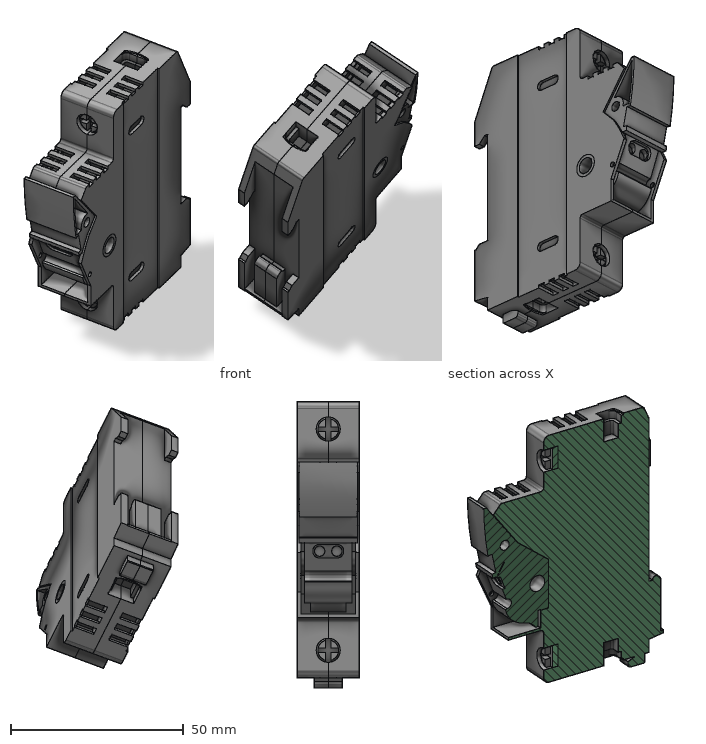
import cadquery as cq


WIDTH = 18.0
HEIGHT = 80.0
MID_HEIGHT = HEIGHT / 2
HALF = WIDTH / 2

WALL = 1.1
CAVITY_HALF = HALF - WALL

OVERALL_DEPTH = 62.8
LEVER_FRONT = 57.7
HOOK_REACH = OVERALL_DEPTH - LEVER_FRONT
HOOK_NOSE = 3.2
HOOK_GAP_TOP = 58.3
HOOK_GAP_BOTTOM = 23.1
UPPER_HOOK_TIP = 56.2
LOWER_HOOK_TIP = 21.75
BACK_SLOPE_FOOT = 64.2
ROOF_REAR = 1.9
HOOK_BASE = 4.2
HOOK_BASE_REAR = 5.0

FRONT = 36.8
BLOCK_FRONT = 49.05
BLOCK_TOP = 62.5
BLOCK_BOTTOM = 17.5
BLOCK_CHAMFER_START = 51.6
NOSE_SLOPE_FOOT = 24.9
NOSE = (54.2, 36.3)
SEAT_TOP = (54.3, 59.5)
SEAT_CORNER = (45.9, 48.2)
SEAT_BEND = (50.0, 44.1)
SEAT_ARC_MID = (52.2, 40.4)

CORNER_RADIUS = 2.0
STEP_RADIUS = 1.0

SIDE_RECESS_START = 11.9
SIDE_RECESS_END = 31.4
SIDE_RECESS_DEPTH = 0.5

GRIP_FORWARD = 23.5
GRIP_OFFSET = 26.65
GRIP_LENGTH = 8.1
GRIP_WIDTH = 3.0
GRIP_DEPTH = 1.0

VENT_WIDTH = 2.1
VENT_PITCH = 4.0
VENT_INNER = 2.4
VENT_DEPTH = 1.0
CHAMBER_DEPTH = 4.15
CHAMBER_MARGIN = 1.0
HOUSING_VENT_MID = 24.9
BLOCK_VENT_MID = 44.8
TROUGH_DIAMETER = 16.0
TROUGH_DEPTH = 3.3

WIRE_HALF = 4.1
WIRE_FRONT = 15.8
WIRE_SHOULDER = 9.7
WIRE_CREST = 9.0
ARCH_DEPTH = 0.5
LEDGE_DEPTH = 3.0
LEDGE_RADIUS = 1.5
CLAMP_HALF = 3.0
CLAMP_REAR = 10.8
CLAMP_DEPTH = 7.5
CLAMP_RADIUS = 0.7

HOOK_SLOT_HALF = 6.9
SLOT_FLOOR_REACH = 5.0
SLOT_FLOOR = 1.0
LATCH_HALF = 4.1
LATCH_REACH = 4.1
FOOT_REAR = 1.5
FOOT_FRONT = 7.4
FOOT_SLOPE_START = 5.15
FOOT_DROP = 3.0
FOOT_RADIUS = 1.0
FOOT_BEVEL = 0.25

SCREW_DIAMETER = 7.0
SCREW_OFFSET = 32.0
SCREW_SINK = 1.0
SCREW_LENGTH = 4.0
SCREW_CHAMFER = 0.5
CROSS_DEPTH = 2.0
CROSS_HEIGHT = 1.3
CROSS_WIDTH = 1.5

HUB = (38.9, 33.1)
HUB_DIAMETER = 7.0
HUB_BORE = 5.0
SEAL_HOLE = (49.55, 29.5)
SEAL_DIAMETER = 1.5

LEVER_INSET = 0.6
LEVER_HALF = HALF - LEVER_INSET
BODY_HALF = 6.9
TONGUE_HALF = 5.15
EYE = (50.3, 48.6)
EYE_DIAMETER = 3.0
EYE_BOSS_RADIUS = 3.1
LEVER_WEB = 2.0
LIP_ROOT = (52.95, 39.1)
LIP_TIP = (54.5, 39.1)
LIP_FRONT = (54.8, 40.5)
LIP_TOP = (53.45, 40.75)
COVER_BOTTOM = (56.2, 46.65)
COVER_STEP = (54.8, 46.9)
COVER_ARC_MID = (57.3, 54.6)
COVER_REAR = 56.6
POCKET_REAR = (50.0, 51.9)
POCKET_FRONT = (55.5, 47.6)
POCKET_TIP = (56.8, 61.3)
POCKET_ARC_MID = (56.6, 54.6)
POCKET_FLOOR_REAR = (50.0, 48.0)
GROOVE_TOP = (49.8, 31.0)
FINGER_GROOVE_DIAMETER = 3.0
BODY_LIP = (50.1, 27.7)
BODY_END = (44.0, 21.7)
TONGUE_FOOT = (39.4, 19.0)

WINDOW_DIAMETER = 4.0
WINDOW_HEIGHT = 36.7
WINDOW_DEPTH = 1.0
LAMP_DIAMETER = 3.0
LAMP_SPACING = 5.0
LAMP_FLOOR = 50.0

FLOOR_WALL = 0.9
CAVITY_FLOOR = BLOCK_BOTTOM + FLOOR_WALL
CAVITY_STEP = 24.2
CAVITY_REAR = 35.2
CAVITY_REAR_TOP = 39.8
CAVITY_LOW_REAR = 37.8
BODY_LOW_REAR = CAVITY_LOW_REAR + 0.8
CLEAR = 8.3


def side_plane(x=0.0):
    """Sketch plane whose local axes are forward distance and height; it extrudes toward -X."""
    return cq.Workplane(cq.Plane(origin=(x, 0, 0), xDir=(0, -1, 0), normal=(-1, 0, 0)))


def front_plane(forward):
    """Sketch plane with local axes X and Z; a positive extrusion goes forward."""
    return cq.Workplane("XZ", origin=(0, -forward, 0))


def block(x_range, forward_range, z_range):
    """Axis-aligned box between the given limits."""
    x0, x1 = x_range
    f0, f1 = forward_range
    z0, z1 = z_range
    return cq.Workplane("XY").box(x1 - x0, f1 - f0, z1 - z0, centered=False).translate((x0, -f1, z0))


def mirrored_pair(solid, plane, middle=(0, 0, 0)):
    """A solid together with its mirror image."""
    return solid.union(solid.mirror(plane, middle))


def upper_and_lower(solid):
    """A solid together with its image below the middle height."""
    return mirrored_pair(solid, "XY", (0, 0, MID_HEIGHT))


def housing_outline():
    """Full-width housing with rail hooks, stepped front and the V-shaped lever seat."""
    body = (
        side_plane(HALF)
        .moveTo(0, 0)
        .lineTo(FRONT, 0)
        .lineTo(FRONT, BLOCK_BOTTOM)
        .lineTo(BLOCK_FRONT, BLOCK_BOTTOM)
        .lineTo(BLOCK_FRONT, NOSE_SLOPE_FOOT)
        .lineTo(*NOSE)
        .threePointArc(SEAT_ARC_MID, SEAT_BEND)
        .lineTo(*SEAT_CORNER)
        .lineTo(*SEAT_TOP)
        .lineTo(BLOCK_CHAMFER_START, BLOCK_TOP)
        .lineTo(FRONT, BLOCK_TOP)
        .lineTo(FRONT, HEIGHT)
        .lineTo(ROOF_REAR, HEIGHT)
        .lineTo(-HOOK_REACH, BACK_SLOPE_FOOT)
        .lineTo(-HOOK_REACH, UPPER_HOOK_TIP)
        .lineTo(-HOOK_NOSE, UPPER_HOOK_TIP)
        .lineTo(-HOOK_NOSE + HOOK_GAP_TOP - UPPER_HOOK_TIP, HOOK_GAP_TOP)
        .lineTo(0, HOOK_GAP_TOP)
        .lineTo(0, HOOK_GAP_BOTTOM)
        .lineTo(-HOOK_NOSE, HOOK_GAP_BOTTOM)
        .lineTo(-HOOK_NOSE + LOWER_HOOK_TIP - HOOK_GAP_BOTTOM, LOWER_HOOK_TIP)
        .lineTo(-HOOK_REACH, LOWER_HOOK_TIP)
        .lineTo(-HOOK_REACH, HOOK_BASE_REAR)
        .lineTo(0, HOOK_BASE)
        .close()
        .extrude(2 * HALF)
    )
    body = round_cross_edges(body, [(FRONT, 0), (FRONT, HEIGHT)], CORNER_RADIUS)
    small = [
        (FRONT, BLOCK_BOTTOM),
        (FRONT, BLOCK_TOP),
        (BLOCK_CHAMFER_START, BLOCK_TOP),
        (ROOF_REAR, HEIGHT),
    ]
    return round_cross_edges(body, small, STEP_RADIUS)


def round_cross_edges(body, corners, radius):
    """Fillet the edges along X that pass through the given side-plane corners."""
    for forward, height in corners:
        edge = cq.selectors.NearestToPointSelector((0, -forward, height))
        body = body.edges("|X").edges(edge).fillet(radius)
    return body


def side_recesses():
    recess = block(
        (HALF - SIDE_RECESS_DEPTH, HALF + CLEAR),
        (SIDE_RECESS_START, SIDE_RECESS_END),
        (-CLEAR, HEIGHT + CLEAR),
    )
    return mirrored_pair(recess, "YZ")


def grip_slots():
    """Rounded blind slots in the floors of the side recesses."""
    floor = HALF - SIDE_RECESS_DEPTH
    slot = (
        side_plane(floor)
        .center(GRIP_FORWARD, MID_HEIGHT + GRIP_OFFSET)
        .slot2D(GRIP_LENGTH, GRIP_WIDTH)
        .extrude(GRIP_DEPTH)
    )
    return upper_and_lower(mirrored_pair(slot, "YZ"))


def vent_row(middle, top):
    """Three vents cut through a thin roof and the side wall into one chamber under the roof."""
    reach = VENT_PITCH + VENT_WIDTH / 2 + CHAMBER_MARGIN
    cutter = block(
        (VENT_INNER, CAVITY_HALF),
        (middle - reach, middle + reach),
        (top - CHAMBER_DEPTH, top - VENT_DEPTH),
    )
    for step in (-1, 0, 1):
        forward = middle + step * VENT_PITCH
        span = (forward - VENT_WIDTH / 2, forward + VENT_WIDTH / 2)
        cutter = cutter.union(block((VENT_INNER, HALF + CLEAR), span, (top - VENT_DEPTH, top)))
    return cutter


def trough_rib():
    """Rib beside the fuse block wall whose hollow top shows through the vents."""
    reach = VENT_PITCH + VENT_WIDTH / 2 + CHAMBER_MARGIN
    rib = block(
        (BODY_HALF, CAVITY_HALF),
        (BLOCK_VENT_MID - reach, BLOCK_VENT_MID + reach),
        (BLOCK_TOP - CHAMBER_DEPTH, BLOCK_TOP - VENT_DEPTH),
    )
    trough = (
        side_plane(CAVITY_HALF)
        .center(BLOCK_VENT_MID, BLOCK_TOP - TROUGH_DEPTH + TROUGH_DIAMETER / 2)
        .circle(TROUGH_DIAMETER / 2)
        .extrude(CAVITY_HALF - BODY_HALF)
    )
    return rib.cut(trough)


def all_vents():
    housing_rows = upper_and_lower(vent_row(HOUSING_VENT_MID, HEIGHT))
    block_row = vent_row(BLOCK_VENT_MID, BLOCK_TOP).cut(trough_rib())
    return mirrored_pair(housing_rows.union(block_row), "YZ")


def wire_openings():
    """Stepped wire entries: an arch, a rounded ledge and a rounded clamp pocket."""
    top = cq.Workplane("XY", origin=(0, 0, HEIGHT))
    arch = (
        top.moveTo(-WIRE_HALF, -WIRE_FRONT)
        .lineTo(WIRE_HALF, -WIRE_FRONT)
        .lineTo(WIRE_HALF, -WIRE_SHOULDER)
        .threePointArc((0, -WIRE_CREST), (-WIRE_HALF, -WIRE_SHOULDER))
        .close()
        .extrude(-ARCH_DEPTH)
    )
    ledge = block((-WIRE_HALF, WIRE_HALF), (WIRE_SHOULDER, WIRE_FRONT), (HEIGHT - LEDGE_DEPTH, HEIGHT))
    ledge = ledge.edges("|Z and >Y").fillet(LEDGE_RADIUS)
    clamp = block(
        (-CLAMP_HALF, CLAMP_HALF), (CLAMP_REAR, WIRE_FRONT), (HEIGHT - CLAMP_DEPTH, HEIGHT)
    )
    clamp = clamp.edges("|Z and >Y").fillet(CLAMP_RADIUS)
    return upper_and_lower(arch.union(ledge).union(clamp))


def hook_slot():
    """Slot through the middle of both rail hooks, leaving a thin sloped floor below."""
    return (
        side_plane(HOOK_SLOT_HALF)
        .polyline([
            (-HOOK_REACH - CLEAR, 0),
            (-SLOT_FLOOR_REACH, 0),
            (-SLOT_FLOOR_REACH, HOOK_BASE_REAR + SLOT_FLOOR),
            (0, HOOK_BASE + SLOT_FLOOR),
            (0, HEIGHT + CLEAR),
            (-HOOK_REACH - CLEAR, HEIGHT + CLEAR),
        ])
        .close()
        .extrude(2 * HOOK_SLOT_HALF)
    )


def rail_latch():
    """Latch nose in the lower hook slot and the pull foot under the housing."""
    nose = (
        side_plane(LATCH_HALF)
        .moveTo(0, HOOK_BASE)
        .lineTo(0, HOOK_GAP_BOTTOM)
        .lineTo(-1.2, HOOK_GAP_BOTTOM)
        .threePointArc((-1.5, 23.9), (-2.15, 24.2))
        .threePointArc((-3.3, 23.8), (-LATCH_REACH, 22.75))
        .lineTo(-LATCH_REACH, HOOK_BASE_REAR)
        .close()
        .extrude(2 * LATCH_HALF)
    )
    foot = (
        side_plane(LATCH_HALF)
        .moveTo(FOOT_REAR, 0)
        .lineTo(FOOT_SLOPE_START, 0)
        .lineTo(FOOT_FRONT, -FOOT_DROP + 2 * FOOT_RADIUS)
        .lineTo(FOOT_FRONT, -FOOT_DROP + FOOT_RADIUS)
        .tangentArcPoint((FOOT_FRONT - FOOT_RADIUS, -FOOT_DROP), relative=False)
        .lineTo(FOOT_REAR + FOOT_BEVEL, -FOOT_DROP)
        .lineTo(FOOT_REAR, -FOOT_DROP + FOOT_BEVEL)
        .close()
        .extrude(2 * LATCH_HALF)
    )
    return nose, foot


def lever_cavity():
    """Space between the side walls in which the lever swings, open toward the front."""
    return (
        side_plane(CAVITY_HALF)
        .polyline([
            (CAVITY_LOW_REAR, CAVITY_FLOOR),
            (LEVER_FRONT + CLEAR, CAVITY_FLOOR),
            (LEVER_FRONT + CLEAR, SEAT_CORNER[1]),
            SEAT_CORNER,
            (CAVITY_REAR, CAVITY_REAR_TOP),
            (CAVITY_REAR, CAVITY_STEP),
            (CAVITY_LOW_REAR, CAVITY_STEP),
        ])
        .close()
        .extrude(2 * CAVITY_HALF)
    )


def cross_hole(centre, diameter):
    """Round cutter along X through the full width."""
    return side_plane(HALF + CLEAR).center(*centre).circle(diameter / 2).extrude(2 * (HALF + CLEAR))


def screw_heights():
    return (MID_HEIGHT - SCREW_OFFSET, MID_HEIGHT + SCREW_OFFSET)


def screw_holes():
    return (
        front_plane(FRONT)
        .pushPoints([(0, height) for height in screw_heights()])
        .circle(SCREW_DIAMETER / 2)
        .extrude(-(SCREW_SINK + SCREW_LENGTH))
    )


def complete_housing():
    body = housing_outline().cut(hook_slot())
    for piece in rail_latch():
        body = body.union(piece)
    body = body.cut(side_recesses()).cut(grip_slots()).cut(all_vents()).cut(wire_openings())
    body = body.cut(lever_cavity()).cut(screw_holes())
    return body.cut(cross_hole(HUB, HUB_DIAMETER)).cut(cross_hole(SEAL_HOLE, SEAL_DIAMETER))


def housing_shell(body, side):
    """The part of the housing on one side of the middle plane (side is -1 or 1)."""
    x_range = sorted((0, side * (HALF + CLEAR)))
    keep = block(x_range, (-CLEAR, LEVER_FRONT + CLEAR), (-CLEAR, HEIGHT + CLEAR))
    return body.intersect(keep)


def lever_cover():
    """Wide handle that fills the V-shaped seat, with a curved front and a lip."""
    return (
        side_plane(LEVER_HALF)
        .moveTo(*SEAT_CORNER)
        .lineTo(*SEAT_BEND)
        .threePointArc((51.55, 41.7), LIP_ROOT)
        .lineTo(*LIP_TIP)
        .lineTo(*LIP_FRONT)
        .lineTo(*LIP_TOP)
        .lineTo(*COVER_STEP)
        .lineTo(*COVER_BOTTOM)
        .threePointArc(COVER_ARC_MID, (LEVER_FRONT, BLOCK_TOP))
        .lineTo(COVER_REAR, BLOCK_TOP)
        .close()
        .extrude(2 * LEVER_HALF)
    )


def cover_pockets():
    """Triangular hollows in both sides of the handle, running round the eye boss."""
    outer = (
        side_plane(LEVER_HALF)
        .moveTo(*POCKET_REAR)
        .lineTo(*POCKET_FLOOR_REAR)
        .lineTo(*POCKET_FRONT)
        .threePointArc(POCKET_ARC_MID, POCKET_TIP)
        .close()
        .extrude(LEVER_HALF - LEVER_WEB / 2)
    )
    boss = side_plane(LEVER_HALF).center(*EYE).circle(EYE_BOSS_RADIUS).extrude(LEVER_HALF)
    return mirrored_pair(outer.cut(boss), "YZ")


def lever_body():
    """Narrow body between the side walls, with a round lower front."""
    return (
        side_plane(BODY_HALF)
        .moveTo(*SEAT_CORNER)
        .lineTo(*SEAT_BEND)
        .lineTo(*LIP_ROOT)
        .lineTo(*GROOVE_TOP)
        .lineTo(SEAL_HOLE[0], SEAL_HOLE[1] - FINGER_GROOVE_DIAMETER / 2)
        .lineTo(*BODY_LIP)
        .threePointArc((48.0, 23.8), BODY_END)
        .lineTo(BODY_LOW_REAR, BODY_END[1])
        .lineTo(BODY_LOW_REAR, CAVITY_STEP)
        .lineTo(CAVITY_REAR, CAVITY_STEP)
        .lineTo(CAVITY_REAR, CAVITY_REAR_TOP)
        .close()
        .extrude(2 * BODY_HALF)
    )


def lever_tongue():
    """Narrow tongue under the body with a hollow front."""
    return (
        side_plane(TONGUE_HALF)
        .moveTo(*BODY_END)
        .threePointArc((41.4, 20.75), TONGUE_FOOT)
        .lineTo(BODY_LOW_REAR, TONGUE_FOOT[1])
        .lineTo(BODY_LOW_REAR, CAVITY_STEP)
        .lineTo(BODY_END[0], CAVITY_STEP)
        .close()
        .extrude(2 * TONGUE_HALF)
    )


def indicator_window():
    """Oblong recess in the face below the lip with two lamp holes in it."""
    window = (
        front_plane(LAMP_FLOOR)
        .center(0, WINDOW_HEIGHT)
        .slot2D(LAMP_SPACING + WINDOW_DIAMETER, WINDOW_DIAMETER)
        .extrude(CLEAR)
    )
    behind_floor = lever_body().translate((0, WINDOW_DEPTH, 0))
    lamps = (
        front_plane(LAMP_FLOOR)
        .center(0, WINDOW_HEIGHT)
        .pushPoints([(-LAMP_SPACING / 2, 0), (LAMP_SPACING / 2, 0)])
        .circle(LAMP_DIAMETER / 2)
        .extrude(CLEAR)
    )
    return window.cut(behind_floor).union(lamps)


def make_lever():
    hub = side_plane(HALF).center(*HUB).circle(HUB_DIAMETER / 2).extrude(2 * HALF)
    lever = lever_cover().cut(cover_pockets()).union(lever_body()).union(lever_tongue()).union(hub)
    lever = lever.cut(cross_hole(SEAL_HOLE, FINGER_GROOVE_DIAMETER))
    lever = lever.cut(cross_hole(HUB, HUB_BORE)).cut(cross_hole(EYE, EYE_DIAMETER))
    return lever.cut(indicator_window())


def make_screw(height):
    """Chamfered cross-recessed screw, sunk below the front face."""
    head = FRONT - SCREW_SINK
    screw = (
        front_plane(head)
        .center(0, height)
        .circle(SCREW_DIAMETER / 2)
        .extrude(-SCREW_LENGTH)
        .faces("<Y")
        .chamfer(SCREW_CHAMFER)
    )
    centre = front_plane(head).center(0, height)
    across_slot = centre.rect(SCREW_DIAMETER - 2 * SCREW_CHAMFER, CROSS_HEIGHT).extrude(-CROSS_DEPTH)
    upright_slot = centre.rect(CROSS_WIDTH, SCREW_DIAMETER).extrude(-CROSS_DEPTH)
    return screw.cut(across_slot).cut(upright_slot)


housing = complete_housing()
shells = [housing_shell(housing, side) for side in (-1, 1)]
lever = make_lever()
screws = [make_screw(height) for height in screw_heights()]

bodies = shells + [lever] + screws
result = cq.Compound.makeCompound([body.solids().val() for body in bodies])